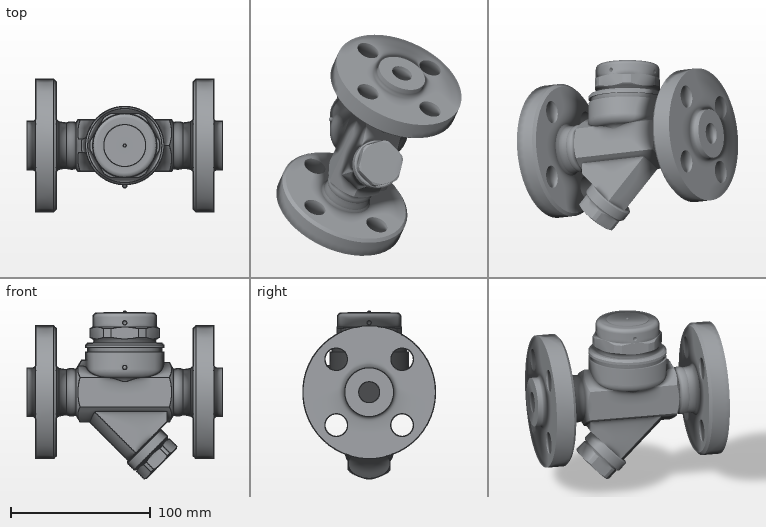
import cadquery as cq
import math


overall_length = 140.0
bore_diameter = 15.0
bore_depth = 40.0
raised_face_diameter = 34.9
raised_face_height = 6.35
raised_face_fillet = 2.0
flange_diameter = 95.0
flange_thickness = 14.75
flange_chamfer = 2.0
bolt_hole_diameter = 16.0
bolt_circle_diameter = 66.5
bolt_count = 4

neck_flare_radius = 18.5
neck_flare_length = 1.8
neck_outer_radius = 17.1
neck_waist_radius = 16.5
neck_seam_radius = 16.2
neck_seam_x = 41.5
bead_radius = 17.0
body_end_radius = 16.3

body_flats = 37.0
body_half_length = 34.8
body_bevel_angle = 30.0

cup_diameter = 56.0
cup_top = 28.6
cup_bottom = 10.5
cup_edge_radius = 5.7
cup_stem_radius = 18.4
cup_dot_diameter = 3.0
cup_dot_height = 17.6
cup_dot_reach = 30.3

rib_width = 9.6
rib_top = 23.0
rib_fillet = 3.0

branch_angle = 45.0
branch_axis_drop = 24.75
branch_width = 26.0
branch_keel_radius = 15.3
branch_start = -5.0
branch_end = 36.35
branch_outlet_x = 30.3

plug_collar_diameter = 34.0
plug_collar_length = 8.35
plug_collar_bevel = 0.8
plug_neck_diameter = 30.0
plug_neck_length = 0.5
plug_hex_flats = 30.0
plug_hex_corners = 33.0
plug_hex_height = 9.33

cover_spigot_diameter = 53.0
cover_flange_bottom = 31.8
cover_flange_top = 35.1
cover_flange_bevel = 1.5
cover_neck_diameter = 44.0
cover_neck_hollow = 1.0
cover_hex_flats = 46.0
cover_hex_corners = 50.0
cover_hex_bottom = 38.1
cover_hex_top = 46.5
cap_diameter = 45.5
cap_top = 56.6
cap_edge_radius = 3.0
plate_diameter = 30.0
plate_top = 57.0
rivet_radius = 1.1
rivet_top = 58.0
pin_dimple_diameter = 3.0
pin_dimple_height = 49.6
pin_dimple_count = 4

half_length = overall_length / 2
flange_face_x = half_length - raised_face_height
flange_back_x = flange_face_x - flange_thickness
hex_corner_ratio = 2 / math.sqrt(3)
bevel_slope = math.tan(math.radians(body_bevel_angle))
cup_radius = cup_diameter / 2

branch_direction = cq.Vector(math.cos(math.radians(branch_angle)), 0, -math.sin(math.radians(branch_angle)))
branch_keel_direction = cq.Vector(branch_direction.z, 0, -branch_direction.x)
branch_foot = branch_keel_direction * (branch_axis_drop * math.cos(math.radians(branch_angle)))


def branch_plane(distance):
    """Plane square to the branch axis, a distance along it."""
    return cq.Plane(
        origin=branch_foot + branch_direction * distance,
        xDir=branch_keel_direction,
        normal=branch_direction,
    )


def bevelled_hexagon(flats, corners, height):
    """Hexagonal nut along Z, corners on X, turned to the corner diameter and bevelled at its ends."""
    hexagon = cq.Workplane("XY").polygon(6, flats * hex_corner_ratio).extrude(height)
    turned = cq.Workplane("XY").circle(corners / 2).extrude(height)
    rise = (corners - flats) / 2
    drop = rise * bevel_slope
    turned = turned.faces("<Z or >Z").chamfer(drop, rise)
    return hexagon.intersect(turned)


def pipe_end():
    """Raised face, flange and weld neck on the +X side, turned about the X axis."""
    raised_radius = raised_face_diameter / 2
    flange_radius = flange_diameter / 2
    flare_x = flange_back_x - neck_flare_length
    root_reach = raised_face_fillet * (1 - math.sqrt(0.5))
    profile = (
        cq.Workplane("XY")
        .moveTo(0, 0)
        .lineTo(half_length, 0)
        .lineTo(half_length, raised_radius)
        .lineTo(flange_face_x + raised_face_fillet, raised_radius)
        .threePointArc(
            (flange_face_x + root_reach, raised_radius + root_reach),
            (flange_face_x, raised_radius + raised_face_fillet),
        )
        .lineTo(flange_face_x, flange_radius)
        .lineTo(flange_back_x + flange_chamfer, flange_radius)
        .lineTo(flange_back_x, flange_radius - flange_chamfer)
        .lineTo(flange_back_x, neck_flare_radius)
        .lineTo(flare_x, neck_outer_radius)
        .threePointArc(((flare_x + neck_seam_x) / 2, neck_waist_radius), (neck_seam_x, neck_seam_radius))
        .threePointArc(((neck_seam_x + body_half_length) / 2, bead_radius), (body_half_length, body_end_radius))
        .lineTo(0, body_end_radius)
        .close()
    )
    end = profile.revolve(360, (0, 0, 0), (1, 0, 0))
    bolt_holes = (
        cq.Workplane("YZ", origin=(flange_back_x, 0, 0))
        .polarArray(bolt_circle_diameter / 2, 180 / bolt_count, 360, bolt_count)
        .circle(bolt_hole_diameter / 2)
        .extrude(flange_thickness)
    )
    return end.cut(bolt_holes)


def body_bar():
    """Hexagonal bar along X with a ridge on top, joined to the inlet rib and coned at both ends."""
    bar = (
        cq.Workplane("YZ", origin=(-body_half_length, 0, 0))
        .polygon(6, body_flats * hex_corner_ratio)
        .extrude(2 * body_half_length)
        .rotate((0, 0, 0), (1, 0, 0), 90)
    )
    rib = cq.Workplane("XY").box(body_half_length, rib_width, rib_top, centered=(False, True, False))
    bar = bar.union(rib.translate((-body_half_length, 0, 0)))

    envelope_radius = body_flats
    envelope_x = body_half_length - (envelope_radius - body_end_radius) * bevel_slope
    envelope = (
        cq.Workplane("XY")
        .moveTo(-body_half_length, 0)
        .lineTo(-body_half_length, body_end_radius)
        .lineTo(-envelope_x, envelope_radius)
        .lineTo(envelope_x, envelope_radius)
        .lineTo(body_half_length, body_end_radius)
        .lineTo(body_half_length, 0)
        .close()
        .revolve(360, (0, 0, 0), (1, 0, 0))
    )
    return bar.intersect(envelope)


def cup():
    """Round cup about the Z axis, rounded underneath and running into a stem in the bar."""
    flat_radius = cup_radius - cup_edge_radius
    stem_fillet = flat_radius - cup_stem_radius
    edge_mid = cup_edge_radius * math.sqrt(0.5)
    stem_mid = stem_fillet * math.sqrt(0.5)
    return (
        cq.Workplane("XZ")
        .moveTo(0, 0)
        .lineTo(0, cup_top)
        .lineTo(cup_radius, cup_top)
        .lineTo(cup_radius, cup_bottom + cup_edge_radius)
        .threePointArc(
            (flat_radius + edge_mid, cup_bottom + cup_edge_radius - edge_mid),
            (flat_radius, cup_bottom),
        )
        .threePointArc(
            (flat_radius - stem_mid, cup_bottom - stem_fillet + stem_mid),
            (cup_stem_radius, cup_bottom - stem_fillet),
        )
        .lineTo(cup_stem_radius, 0)
        .close()
        .revolve(360, (0, 0, 0), (0, 1, 0))
    )


def rib_fillets():
    """Concave corners where the sides of the inlet rib meet the cup."""
    side_y = rib_width / 2
    centre_y = side_y + rib_fillet
    centre_x = -math.sqrt((cup_radius + rib_fillet) ** 2 - centre_y ** 2)
    touch_scale = cup_radius / (cup_radius + rib_fillet)
    web = (
        cq.Workplane("XY")
        .moveTo(centre_x, side_y)
        .lineTo(centre_x, centre_y)
        .lineTo(centre_x * touch_scale, centre_y * touch_scale)
        .lineTo(centre_x * touch_scale + rib_fillet, side_y)
        .close()
        .extrude(rib_top)
    )
    round_cutter = cq.Workplane("XY").center(centre_x, centre_y).circle(rib_fillet).extrude(rib_top)
    fillet = web.cut(round_cutter)
    return fillet.union(fillet.mirror("XZ"))


def cup_dot():
    """Round-nosed dot on the -Y side of the cup."""
    radius = cup_dot_diameter / 2
    nose_centre = cup_dot_reach - radius
    return (
        cq.Workplane("XZ", origin=(0, -cup_stem_radius, cup_dot_height))
        .circle(radius)
        .extrude(nose_centre - cup_stem_radius)
        .union(cq.Workplane("XY").sphere(radius).translate((0, -nose_centre, cup_dot_height)))
    )


def branch():
    """Branch with flat sides and a keel below, cut off by a vertical face on its outlet side."""
    half_width = branch_width / 2
    reach = body_flats
    blank = (
        cq.Workplane(branch_plane(branch_start))
        .moveTo(branch_keel_radius, 0)
        .lineTo(branch_keel_radius / 2, half_width)
        .lineTo(-reach, half_width)
        .lineTo(-reach, -half_width)
        .lineTo(branch_keel_radius / 2, -half_width)
        .close()
        .extrude(branch_end - branch_start)
    )
    lower_side = (
        cq.Workplane("XY")
        .box(overall_length, overall_length, overall_length, centered=(False, True, False))
        .translate((branch_outlet_x - overall_length, 0, -overall_length))
    )
    return blank.intersect(lower_side)


def plug():
    """Strainer plug on the end of the branch: collar, neck and hexagon."""
    neck_start = branch_end + plug_collar_length
    hex_start = neck_start + plug_neck_length
    collar = (
        cq.Workplane(branch_plane(branch_end))
        .circle(plug_collar_diameter / 2)
        .extrude(plug_collar_length)
        .edges()
        .chamfer(plug_collar_bevel)
    )
    neck = cq.Workplane(branch_plane(neck_start)).circle(plug_neck_diameter / 2).extrude(plug_neck_length)
    hexagon = bevelled_hexagon(plug_hex_flats, plug_hex_corners, plug_hex_height)
    hexagon_solid = hexagon.val().moved(cq.Location(branch_plane(hex_start)))
    return collar.union(neck).union(cq.Workplane(hexagon_solid))


def make_housing():
    """One solid: body bar, cup, branch, plug and both flanged ends."""
    outlet = pipe_end()
    inlet = outlet.mirror("YZ")
    housing = body_bar().union(cup()).union(rib_fillets()).union(cup_dot())
    housing = housing.union(branch()).union(plug()).union(outlet).union(inlet)
    for side in (-1, 1):
        bore = (
            cq.Workplane("YZ", origin=(side * half_length, 0, 0))
            .circle(bore_diameter / 2)
            .extrude(-side * bore_depth)
        )
        housing = housing.cut(bore)
    return housing


def pin_dimple(angle):
    """Ball-shaped dimple in the side of the cap, at an angle about the Z axis."""
    ball = cq.Workplane("XY").sphere(pin_dimple_diameter / 2)
    return ball.translate((cap_diameter / 2, 0, pin_dimple_height)).rotate((0, 0, 0), (0, 0, 1), angle)


def make_cover():
    """One solid seated on the cup: spigot, flange, hexagon and cap with its name plate."""
    flange_radius = cup_radius
    spigot_radius = cover_spigot_diameter / 2
    neck_radius = cover_neck_diameter / 2
    base = (
        cq.Workplane("XZ")
        .moveTo(0, cup_top)
        .lineTo(spigot_radius, cup_top)
        .lineTo(spigot_radius, cover_flange_bottom)
        .lineTo(flange_radius, cover_flange_bottom)
        .lineTo(flange_radius, cover_flange_top - cover_flange_bevel)
        .lineTo(flange_radius - cover_flange_bevel, cover_flange_top)
        .lineTo(neck_radius + cover_neck_hollow, cover_flange_top)
        .threePointArc(
            (neck_radius, (cover_flange_top + cover_hex_bottom) / 2),
            (neck_radius + cover_neck_hollow, cover_hex_bottom),
        )
        .lineTo(0, cover_hex_bottom)
        .close()
        .revolve(360, (0, 0, 0), (0, 1, 0))
    )
    hexagon = bevelled_hexagon(
        cover_hex_flats, cover_hex_corners, cover_hex_top - cover_hex_bottom
    ).translate((0, 0, cover_hex_bottom))
    cap = (
        cq.Workplane("XY", origin=(0, 0, cover_hex_top))
        .circle(cap_diameter / 2)
        .extrude(cap_top - cover_hex_top)
        .faces(">Z")
        .edges()
        .fillet(cap_edge_radius)
    )
    for index in range(pin_dimple_count):
        cap = cap.cut(pin_dimple(index * 360 / pin_dimple_count))
    plate = (
        cq.Workplane("XY", origin=(0, 0, cap_top))
        .circle(plate_diameter / 2)
        .extrude(plate_top - cap_top)
    )
    rivet = cq.Workplane("XY").sphere(rivet_radius).translate((0, 0, rivet_top - rivet_radius))
    return base.union(hexagon).union(cap).union(plate).union(rivet)


housing = make_housing()
cover = make_cover()

result = cq.Compound.makeCompound([housing.val(), cover.val()])